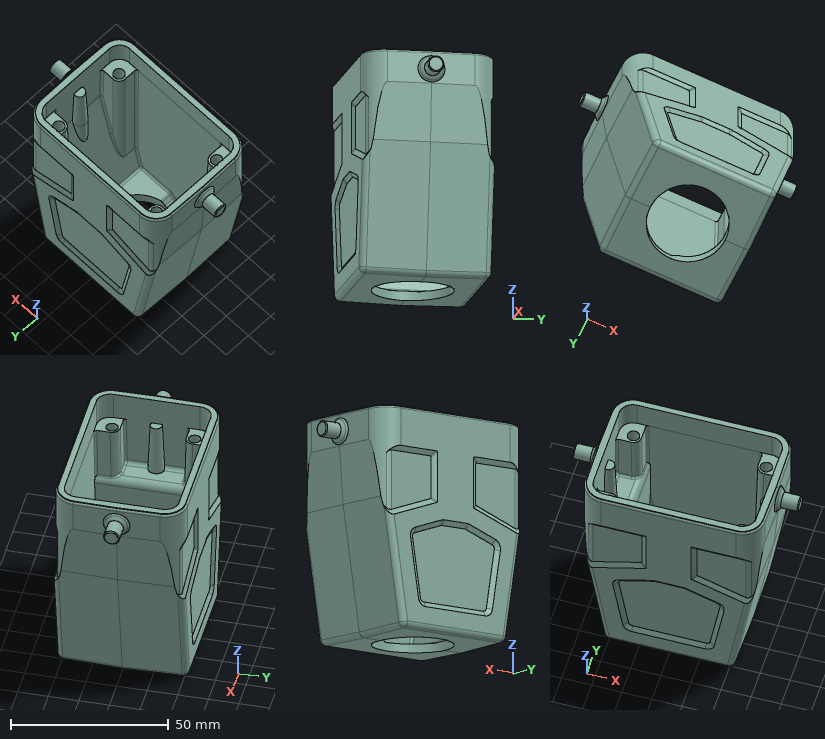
import cadquery as cq
import math

pin_span = 75.0
height = 72.0
half_length = 30.15
width = 43.0
half_width = width / 2
waist_half_length = 28.65
base_half_length = 21.7
shoulder_z = 61.05
waist_z = 42.2
draft = 1.0
corner_radius = 7.5
lower_round = 2.0
rim_round = 0.7
rim_lip_height = 0.3

recess_depth = 1.05
recess_taper = 58.0
recess_corner_round = 0.75
recess_edge_round = 2.6
ledge_angle = 18.7
grip_inner_x = 7.5
grip_top_z = 58.95
grip_bottom_z = 42.3
panel_top_z = 37.0
panel_top_half = 5.2
panel_shoulder_half = 18.9
panel_bottom_z = 7.9
panel_bottom_half = 14.8
panel_corner_radius = 3.0

mouth_half_length = 27.0
mouth_half_width = 18.7
mouth_radius = 4.5
mouth_floor_z = 62.6
floor_z = 3.0
floor_step_x = 1.5
floor_step = 1.65
cavity_round = 0.8
floor_half_width = 17.25
floor_left_x = -13.35
floor_right_x = 15.75
shelf_z = 45.0
shelf_edge_x = -17.8
shelf_round = 2.55
shelf_root_round = 1.35
left_bend_z = 24.75
right_bend_z = 46.5
opening_radius = 13.2

post_x = 22.05
post_y = 13.5
post_reach = 2.7
post_taper = 1.2
screw_radius = 1.95
screw_depth = 11.25
pilot_radius = 1.1
pilot_depth = 15.0

pin_tip_x = pin_span / 2
pin_diameter = 5.2
pin_radius = pin_diameter / 2
pin_z = 65.8
pin_chamfer = 0.4
collar_radius = 3.75
collar_flare_radius = 4.5
flare_sink = 0.2
collar_end_x = 31.65
rib_x = 26.25
rib_top_radius = 1.95
rib_shelf_radius = 2.7
rib_top_z = 62.6

outside = 75.0
margin = 0.75
front_wall = cq.Plane(origin=(0, -half_width, 0), xDir=(-1, 0, 0), normal=(0, 1, 0))
ledge_slope = math.tan(math.radians(ledge_angle))
corner_y = half_width - corner_radius
corner_x = half_length - corner_y * math.tan(math.radians(draft)) - corner_radius


def box_between(x0, x1, y0, y1, z0, z1):
    return cq.Workplane("XY").box(x1 - x0, y1 - y0, z1 - z0, centered=False).translate((x0, y0, z0))


def both_x(shape):
    return shape.union(shape.mirror("YZ"))


def both_y(shape):
    return shape.union(shape.mirror("XZ"))


def tapered_recess(points, depth):
    """Recess sinking from the front wall, narrowing as it goes in."""
    return cq.Workplane(front_wall).polyline(points).close().extrude(depth, taper=recess_taper)


def make_shell():
    """Solid body with drafted, sloping sides."""
    right = [(base_half_length, 0), (waist_half_length, waist_z), (half_length, shoulder_z),
             (half_length, height + margin)]
    left = [(-x, z) for x, z in reversed(right)]
    half = cq.Workplane("XZ").polyline(right + left).close().extrude(half_width, taper=draft)
    half = half.intersect(box_between(-outside, outside, -outside, outside, -margin, height - rim_lip_height))
    lower = cq.selectors.BoxSelector((-outside, -outside, -margin), (outside, -margin, waist_z - margin))
    half = half.edges(lower).fillet(lower_round)
    return both_y(half)


def ledge_z(x):
    return grip_bottom_z - (x - grip_inner_x) * ledge_slope


def corner_cut():
    """Rounds one upright corner of the upper body, down to the slanted ledge."""
    above_ledge = tapered_recess(
        [(-outside, ledge_z(outside)), (outside, ledge_z(-outside)),
         (outside, height + outside), (-outside, height + outside)],
        corner_radius + margin)
    square = box_between(corner_x, outside, -outside, -corner_y, 0, height + outside)
    round_post = cq.Workplane("XY").center(corner_x, -corner_y).circle(corner_radius).extrude(height + outside)
    return above_ledge.intersect(square).cut(round_post)


def grip_recess():
    """Upper recess beside a corner, open toward that corner."""
    recess = tapered_recess(
        [(grip_inner_x, grip_bottom_z), (outside, ledge_z(outside)),
         (outside, grip_top_z), (grip_inner_x, grip_top_z)], recess_depth)
    wall_run = recess_depth * math.tan(math.radians(recess_taper))
    inner_corners = cq.selectors.BoxSelector(
        (-grip_inner_x - wall_run, -outside, 0), (outside, outside, height))
    return recess.edges("not #Y").edges(inner_corners).fillet(recess_corner_round)


def round_recess_edges(shell):
    """Rounds the upright edge between each grip recess floor and its corner."""
    middle_z = (grip_top_z + ledge_z(half_length)) / 2
    floor_y = half_width - recess_depth
    edge_x = corner_x + math.sqrt(corner_radius ** 2 - (corner_radius - recess_depth) ** 2)
    for x in (-edge_x, edge_x):
        for y in (-floor_y, floor_y):
            edge = cq.selectors.NearestToPointSelector((x, y, middle_z))
            shell = shell.edges("|Z").edges(edge).fillet(recess_edge_round)
    return shell


def panel_recess():
    """Recess low on the wall, wide at the shoulders and with a flattened peak."""
    shoulder_drop = (panel_shoulder_half - panel_top_half) * ledge_slope
    right = [(panel_top_half, panel_top_z), (panel_shoulder_half, panel_top_z - shoulder_drop),
             (panel_bottom_half, panel_bottom_z)]
    left = [(-x, z) for x, z in reversed(right)]
    outline = cq.Workplane(front_wall).polyline(right + left).close().extrude(recess_depth)
    rounded = outline.edges("|Y").fillet(panel_corner_radius).faces("<Y").wires().val()
    return cq.Workplane(front_wall).add(rounded).toPending().extrude(recess_depth, taper=recess_taper)


def make_mouth():
    """Straight upper part of the cavity."""
    mouth = box_between(-mouth_half_length, mouth_half_length, -mouth_half_width, mouth_half_width,
                        mouth_floor_z, height + margin)
    return mouth.edges("|Z").fillet(mouth_radius)


def make_well():
    """Cavity below the mouth, around the posts and ribs."""
    lengthwise = (
        cq.Workplane("XZ")
        .moveTo(floor_left_x, floor_z)
        .lineTo(floor_step_x - floor_step / 2, floor_z)
        .lineTo(floor_step_x + floor_step / 2, floor_z + floor_step)
        .lineTo(floor_right_x, floor_z + floor_step)
        .lineTo(mouth_half_length, right_bend_z)
        .lineTo(mouth_half_length, mouth_floor_z)
        .lineTo(-mouth_half_length, mouth_floor_z)
        .lineTo(-mouth_half_length, shelf_z + shelf_root_round)
        .radiusArc((-mouth_half_length + shelf_root_round, shelf_z), -shelf_root_round)
        .lineTo(shelf_edge_x - shelf_round, shelf_z)
        .radiusArc((shelf_edge_x, shelf_z - shelf_round), shelf_round)
        .lineTo(shelf_edge_x, left_bend_z)
        .close()
        .extrude(outside, both=True)
    )
    floor_edges = cq.selectors.BoxSelector(
        (-outside, -outside, 0), (outside, outside, floor_z + floor_step + margin))
    lengthwise = lengthwise.edges("|Y").edges(floor_edges).fillet(cavity_round)
    crosswise = (
        cq.Workplane("YZ")
        .polyline([(-floor_half_width, floor_z), (floor_half_width, floor_z),
                   (mouth_half_width, mouth_floor_z), (-mouth_half_width, mouth_floor_z)])
        .close()
        .extrude(outside, both=True)
    )
    well = lengthwise.intersect(crosswise).cut(make_posts())
    left_edges = cq.selectors.BoxSelector(
        (-outside, -outside, 2 * floor_z), (shelf_edge_x - margin, outside, mouth_floor_z - margin))
    right_edges = cq.selectors.BoxSelector(
        (floor_right_x + margin, -outside, 2 * floor_z), (outside, outside, mouth_floor_z - margin))
    return well.edges(left_edges + right_edges).fillet(cavity_round).cut(make_ribs())


def make_posts():
    spread = mouth_floor_z * math.tan(math.radians(post_taper))
    inner_x = post_x - post_reach - spread
    inner_y = post_y - post_reach - spread
    post = cq.Workplane("XY").polyline(
        [(inner_x, inner_y), (outside, inner_y), (outside, outside), (inner_x, outside)]).close()
    post = post.extrude(mouth_floor_z, taper=post_taper)
    inner_edge = cq.selectors.BoxSelector((0, 0, margin), (post_x, post_y, mouth_floor_z - margin))
    return both_y(both_x(post.edges(inner_edge).fillet(post_reach)))


def make_ribs():
    profile = [(0, 0), (rib_shelf_radius, 0), (rib_shelf_radius, shelf_z), (rib_top_radius, rib_top_z),
               (0, rib_top_z)]
    rib = cq.Workplane("XZ").polyline(profile).close().revolve(360, (0, 0, 0), (0, 1, 0))
    return both_x(rib.translate((rib_x, 0, 0)))


def screw_holes():
    bore = cq.Workplane("XY").circle(screw_radius).extrude(-screw_depth)
    pilot = cq.Workplane("XY").circle(pilot_radius).extrude(-pilot_depth)
    return both_y(both_x(bore.union(pilot).translate((post_x, post_y, mouth_floor_z))))


def make_pin():
    """Pin on the right side with its flared collar."""
    root_x = mouth_half_length + margin
    flare_x = half_length - flare_sink
    profile = [(root_x, 0), (root_x, collar_flare_radius), (flare_x, collar_flare_radius),
               (flare_x + collar_flare_radius - collar_radius, collar_radius), (collar_end_x, pin_radius),
               (pin_tip_x - pin_chamfer, pin_radius), (pin_tip_x, pin_radius - pin_chamfer), (pin_tip_x, 0)]
    pin = cq.Workplane("XZ").polyline(profile).close().revolve(360, (0, 0, 0), (1, 0, 0))
    return pin.translate((0, 0, pin_z))


shell = make_shell()
shell = shell.cut(both_y(both_x(corner_cut())))
shell = shell.faces(">Z").edges().fillet(rim_round)
shell = shell.faces(">Z").wires().toPending().workplane().extrude(rim_lip_height)
shell = shell.cut(both_y(both_x(grip_recess()))).cut(both_y(panel_recess()))
shell = round_recess_edges(shell)
shell = shell.cut(make_mouth()).cut(make_well()).cut(screw_holes())
opening = cq.Workplane("XY").circle(opening_radius).extrude(mouth_floor_z)
result = shell.cut(opening).union(both_x(make_pin()))